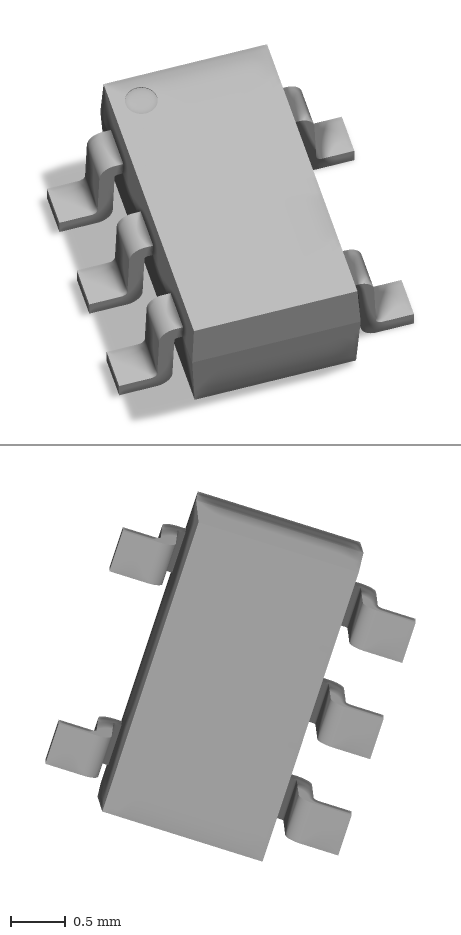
import cadquery as cq
import math

length = 2.92
width = 1.6
overall_height = 1.15
standoff = 0.05
parting_z = 0.695
draft_angle = 3.0

marker_radius = 0.15
marker_depth = 0.01
marker_x = -1.162
marker_y = -0.5

lead_span = 2.8
lead_width = 0.397
lead_thickness = 0.145
lead_pitch = 0.95
lead_top_z = 0.825
shoulder_reach = 1.015
leg_slope = 2.0
outer_bend_radius = 0.15
upper_inner_radius = 0.03
foot_inner_radius = 0.058


def make_housing():
    upper_height = overall_height - parting_z
    lower_height = parting_z - standoff
    parting = cq.Workplane("XY").workplane(offset=parting_z)
    upper = parting.rect(length, width).extrude(upper_height, taper=draft_angle)
    lower = parting.rect(length, width).extrude(-lower_height, taper=draft_angle)
    marker = (
        cq.Workplane("XY")
        .workplane(offset=overall_height - marker_depth)
        .center(marker_x, marker_y)
        .circle(marker_radius)
        .extrude(marker_depth)
    )
    return upper.union(lower).cut(marker)


def make_lead(housing, x, turn):
    """Lead centred at x, on the -Y side for turn 0 and the +Y side for turn 180."""
    slope = math.tan(math.radians(leg_slope))
    leg_thickness_y = lead_thickness / math.cos(math.radians(leg_slope))
    shoulder_bottom_z = lead_top_z - lead_thickness

    def leg_outer_y(z):
        return -shoulder_reach - (lead_top_z - z) * slope

    def leg_inner_y(z):
        return leg_outer_y(z) + leg_thickness_y

    root_y = -width / 2 + lead_thickness
    tip_y = -lead_span / 2
    upper_outer = (leg_outer_y(lead_top_z), lead_top_z)
    upper_inner = (leg_inner_y(shoulder_bottom_z), shoulder_bottom_z)
    foot_inner = (leg_outer_y(lead_thickness), lead_thickness)
    foot_outer = (leg_inner_y(0), 0)
    outline = [
        (root_y, lead_top_z),
        upper_outer,
        foot_inner,
        (tip_y, lead_thickness),
        (tip_y, 0),
        foot_outer,
        upper_inner,
        (root_y, shoulder_bottom_z),
    ]
    lead = cq.Workplane("YZ").polyline(outline).close().extrude(lead_width / 2, both=True)
    bends = [
        (upper_outer, outer_bend_radius),
        (foot_outer, outer_bend_radius),
        (upper_inner, upper_inner_radius),
        (foot_inner, foot_inner_radius),
    ]
    for (y, z), radius in bends:
        lead = lead.edges(cq.NearestToPointSelector((0, y, z))).fillet(radius)
    lead = lead.rotate((0, 0, 0), (0, 0, 1), turn).translate((x, 0, 0))
    return lead.cut(housing)


housing = make_housing()

front_leads = [make_lead(housing, x, 0) for x in (-lead_pitch, 0, lead_pitch)]
back_leads = [make_lead(housing, x, 180) for x in (-lead_pitch, lead_pitch)]

result = cq.Compound.makeCompound(
    [housing.val()] + [lead.solids().val() for lead in front_leads + back_leads]
)